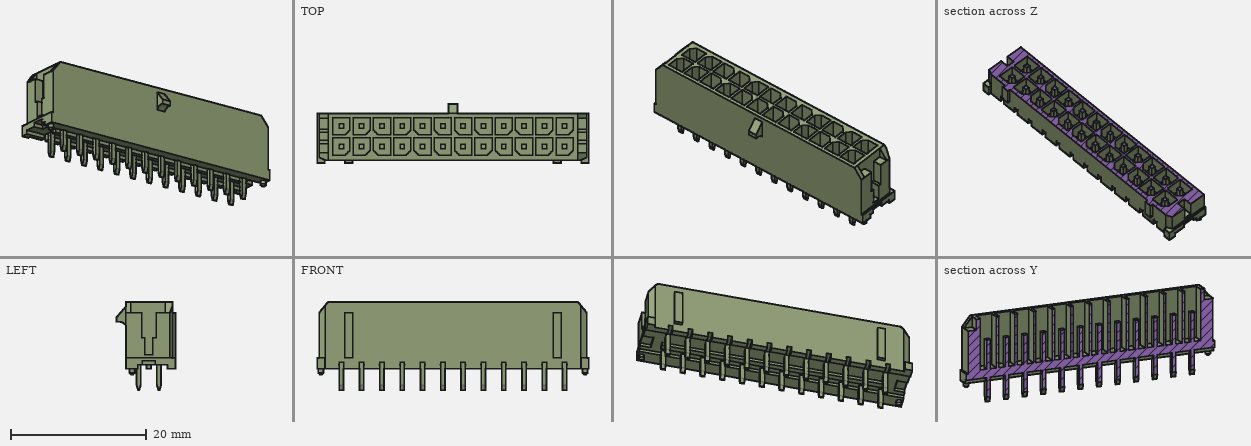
import cadquery as cq
import math


columns = 12
pitch = 3.0
pin_size = 0.66
pin_top = 6.5
pin_bottom = -3.18
tail_taper = 0.8
tail_tip = 0.16

body_length = 39.6
body_back = 3.39
body_front = -3.53
body_height = 9.91
corner_x = 0.93
corner_y = 0.44

flange_length = 40.15
flange_height = 1.62
front_reach = -3.97
pad_length = 1.13
foot_height = 0.6
channel_back = 1.6
channel_front = -2.74
foot_rib_width = 0.72
foot_rib_inset = 3.0
end_recess_width = 1.95
end_recess_top = 1.2
end_recess_depth = 1.6
pin_notch_top = 1.0

cavity_size = 2.54
cavity_floor = 2.0
cavity_corner = 0.7
RIGHT, LEFT = 1, -1
front_corners = [RIGHT, RIGHT, LEFT, RIGHT, LEFT, LEFT, LEFT, RIGHT, LEFT, LEFT, RIGHT, RIGHT]
back_corners = [RIGHT, RIGHT, LEFT, RIGHT, LEFT, LEFT, LEFT, LEFT, RIGHT, LEFT, RIGHT, RIGHT]

shoulder_height = 8.27
end_depth = 1.35
wing_back = 2.67
wing_front = -2.45
slot_wide = 2.15
slot_wide_bottom = 4.6
slot_narrow = 1.2
slot_narrow_bottom = 2.08

rib_x = 15.4
rib_width = 1.15

latch_width = 1.4
latch_reach = 4.8
latch_top = 9.2
latch_nose_top = 7.6
latch_nose_bottom = 6.92
latch_root = 6.4

peg_x = 19.52
peg_y = 2.47
peg_diameter = 0.84
peg_length = 0.85
peg_tip = 0.28


def block(x0, x1, y0, y1, z0, z1):
    """Box between two opposite corners."""
    return cq.Workplane("XY").box(x1 - x0, y1 - y0, z1 - z0, centered=False).translate((x0, y0, z0))


def both_ends(shape):
    """A shape at the -X end together with its mirror image at the +X end."""
    return shape.union(shape.mirror("YZ"))


def column_x(index):
    return (index - (columns - 1) / 2) * pitch


front_row_y = -pitch / 2
back_row_y = pitch / 2
end_x = -body_length / 2
flange_x = -flange_length / 2
inner_x = end_x + end_depth


def make_body():
    outline = [
        (end_x, body_back),
        (end_x, body_front + corner_y),
        (end_x + corner_x, body_front),
        (-end_x - corner_x, body_front),
        (-end_x, body_front + corner_y),
        (-end_x, body_back),
    ]
    return cq.Workplane("XY").polyline(outline).close().extrude(body_height)


def make_end_cut():
    """Sloped wing tops, the open shoulder between them and the stepped slot at the -X end."""
    slope = (
        cq.Workplane("XZ")
        .polyline([(end_x, shoulder_height), (inner_x, body_height), (end_x, body_height)])
        .close()
        .extrude(body_back - body_front)
        .translate((0, body_back, 0))
    )
    shoulder = block(end_x, inner_x, wing_front, wing_back, shoulder_height, body_height)
    wide = block(end_x, inner_x, -slot_wide / 2, slot_wide / 2, slot_wide_bottom, body_height)
    narrow = block(end_x, inner_x, -slot_narrow / 2, slot_narrow / 2, slot_narrow_bottom, body_height)
    return slope.union(shoulder).union(wide).union(narrow)


def make_flange_end():
    plate = block(flange_x, inner_x, body_front + corner_y, body_back, 0, flange_height)
    pad = block(flange_x, flange_x + pad_length, front_reach, body_back, 0, flange_height)
    return plate.union(pad)


def make_channel():
    """Underside clearance around the contact tails, leaving a middle rib."""
    channel = block(flange_x, -flange_x, channel_front, channel_back, 0, foot_height)
    rib_end = flange_x + foot_rib_inset
    rib = block(rib_end, -rib_end, -foot_rib_width / 2, foot_rib_width / 2, 0, foot_height)
    return channel.cut(rib)


def make_end_recess():
    half = end_recess_width / 2
    return block(flange_x, flange_x + end_recess_depth, -half, half, 0, end_recess_top)


def make_pin_notch(index):
    """Notch through the front foot in line with a contact."""
    x = column_x(index)
    return block(x - pin_size / 2, x + pin_size / 2, body_front, front_row_y, 0, pin_notch_top)


def make_cavity(x, y, side):
    half = cavity_size / 2
    outline = [
        (-side * half, -half),
        (side * (half - cavity_corner), -half),
        (side * half, cavity_corner - half),
        (side * half, half),
        (-side * half, half),
    ]
    depth = body_height - cavity_floor
    return cq.Workplane("XY").polyline(outline).close().extrude(depth).translate((x, y, cavity_floor))


def make_pin(x, y):
    half = pin_size / 2
    outline = [
        (-half, pin_top),
        (half, pin_top),
        (half, pin_bottom + tail_taper),
        (tail_tip / 2, pin_bottom),
        (-tail_tip / 2, pin_bottom),
        (-half, pin_bottom + tail_taper),
    ]
    return cq.Workplane("YZ").polyline(outline).close().extrude(pin_size).translate((x - half, y, 0))


def make_rib():
    left = -rib_x - rib_width / 2
    return block(left, left + rib_width, front_reach, body_front, flange_height, shoulder_height)


def make_latch():
    radius_y = latch_reach - body_back
    radius_z = latch_nose_bottom - latch_root
    bulge = math.sqrt(0.5)
    middle = (latch_reach - radius_y * bulge, latch_root + radius_z * bulge)
    return (
        cq.Workplane("YZ")
        .moveTo(body_back, latch_top)
        .lineTo(latch_reach, latch_nose_top)
        .lineTo(latch_reach, latch_nose_bottom)
        .threePointArc(middle, (body_back, latch_root))
        .close()
        .extrude(latch_width / 2, both=True)
    )


def make_peg():
    peg = cq.Workplane("XY").circle(peg_diameter / 2).extrude(-peg_length)
    return peg.faces("<Z").chamfer(peg_tip).translate((-peg_x, peg_y, 0))


result = make_body().cut(both_ends(make_end_cut())).union(both_ends(make_flange_end()))
result = result.cut(make_channel()).cut(both_ends(make_end_recess()))
result = result.union(both_ends(make_rib())).union(make_latch()).union(both_ends(make_peg()))

for column in range(columns):
    result = result.cut(make_pin_notch(column))

for row_y, corners in [(front_row_y, front_corners), (back_row_y, back_corners)]:
    for column, side in enumerate(corners):
        result = result.cut(make_cavity(column_x(column), row_y, side))
        result = result.union(make_pin(column_x(column), row_y))